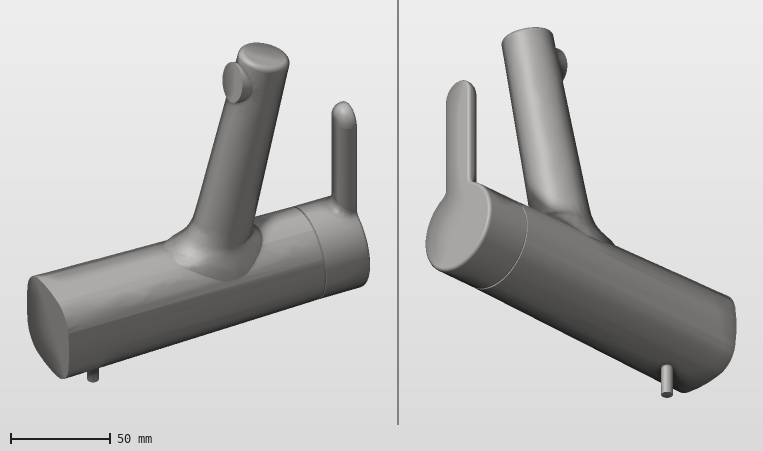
import cadquery as cq
import math

half_width = 24.27
corner_radius = 14.6
corner_offset = 8.9
neck_inset = 0.7

body_end = 143.2
handle_start = 144.2
handle_end = 169.3
back_fillet = 1.7

lean = 13.6
spout_root_y = 98.5
spout_root_z = 36.0
spout_length = 98.0
spout_root_radius = 15.1
spout_tip_radius = 13.2
spout_tip_fillet = 2.8

foot_waist_z = 28.7
foot_waist_y = 95.0
foot_waist_size = (15.5, 17.4)
foot_rim_y = 93.6
foot_rim_size = (17.0, 24.4)
foot_skirt_z = 13.7
foot_skirt_size = (21.4, 29.5)
foot_overlap = 2.6

nozzle_diameter = 20.5
nozzle_height = 82.5
nozzle_reach = 15.0

lever_width = 18.1
lever_thickness = 8.4
lever_top = 85.5
lever_front_fillet = 6.0
lever_root_fillet = 3.8

rod_diameter = 6.0
rod_y = 25.2
rod_bottom = -40.2
rod_top = -20.9


def eight_arc_outline(plane, near, far, diagonal):
    """Closed outline of four side arcs and four corner arcs, symmetric about both axes."""
    half = half_width
    return (
        plane.moveTo(-near, far)
        .threePointArc((0, half), (near, far))
        .threePointArc((diagonal, diagonal), (far, near))
        .threePointArc((half, 0), (far, -near))
        .threePointArc((diagonal, -diagonal), (near, -far))
        .threePointArc((0, -half), (-near, -far))
        .threePointArc((-diagonal, -diagonal), (-far, -near))
        .threePointArc((-half, 0), (-far, near))
        .threePointArc((-diagonal, diagonal), (-near, far))
        .close()
    )


def make_barrel():
    """Body barrel along Y: a squircle at the front that turns into a circle at the back."""
    side_radius = (corner_offset**2 + (half_width - corner_offset)**2 - corner_radius**2) / (
        2 * (half_width - corner_offset - corner_radius)
    )
    join_angle = math.asin(corner_offset / (side_radius - corner_radius))
    near = corner_offset + corner_radius * math.sin(join_angle)
    far = corner_offset + corner_radius * math.cos(join_angle)
    diagonal = corner_offset + corner_radius * math.sqrt(0.5)
    barrel = eight_arc_outline(cq.Workplane("XZ"), near, far, diagonal)

    split_angle = math.atan2(near, far)
    return eight_arc_outline(
        barrel.workplane(offset=-body_end),
        half_width * math.sin(split_angle),
        half_width * math.cos(split_angle),
        half_width * math.sqrt(0.5),
    ).loft(ruled=True)


def round_bar(start, end, radius):
    """Round bar along Y."""
    return cq.Workplane("XZ", origin=(0, start, 0)).circle(radius).extrude(start - end)


spout_axis = cq.Vector(0, math.sin(math.radians(lean)), math.cos(math.radians(lean)))
spout_front = cq.Vector(0, -math.cos(math.radians(lean)), math.sin(math.radians(lean)))
spout_root = cq.Vector(0, spout_root_y, spout_root_z)


def make_spout():
    column = cq.Workplane(
        cq.Solid.makeCone(spout_root_radius, spout_tip_radius, spout_length, spout_root, spout_axis)
    )
    return column.faces(">Z").edges().fillet(spout_tip_fillet)


def make_nozzle():
    centre = spout_root + spout_axis * nozzle_height
    return cq.Workplane(cq.Solid.makeCylinder(nozzle_diameter / 2, nozzle_reach, centre, spout_front))


def foot_ellipse(y, z, size):
    half_x, half_y = size
    return cq.Wire.makeEllipse(
        half_y, half_x, cq.Vector(0, y, z), cq.Vector(0, 0, 1), cq.Vector(0, 1, 0)
    )


def spout_ring(height):
    taper = (spout_root_radius - spout_tip_radius) / spout_length
    radius = spout_root_radius - taper * height
    return cq.Wire.makeEllipse(
        radius, radius, spout_root + spout_axis * height, spout_axis, spout_front * -1
    )


def make_foot():
    sections = [
        foot_ellipse(foot_rim_y, foot_skirt_z, foot_skirt_size),
        foot_ellipse(foot_rim_y, half_width, foot_rim_size),
        foot_ellipse(foot_waist_y, foot_waist_z, foot_waist_size),
        spout_ring(-foot_overlap),
        spout_ring(0),
    ]
    return cq.Workplane(cq.Solid.makeLoft(sections))


def make_rod():
    return (
        cq.Workplane("XY", origin=(0, rod_y, rod_bottom))
        .circle(rod_diameter / 2)
        .extrude(rod_top - rod_bottom)
    )


def make_body():
    body = make_barrel()
    body = body.union(round_bar(body_end, handle_start, half_width - neck_inset))
    body = body.union(make_foot()).union(make_spout()).union(make_nozzle())
    return body.cut(make_rod())


def make_lever():
    half = lever_width / 2
    lever = (
        cq.Workplane("XZ", origin=(0, handle_end, 0))
        .moveTo(-half, 0)
        .lineTo(-half, lever_top - half)
        .threePointArc((0, lever_top), (half, lever_top - half))
        .lineTo(half, 0)
        .close()
        .extrude(lever_thickness)
    )
    return lever.faces("<Y").edges("not <Z").fillet(lever_front_fillet)


def make_handle():
    handle = round_bar(handle_start, handle_end, half_width).union(make_lever())
    root = cq.selectors.BoxSelector(
        (-half_width, handle_start, half_width - lever_root_fillet),
        (half_width, handle_end - back_fillet / 2, half_width + back_fillet),
    )
    handle = handle.edges(root).fillet(lever_root_fillet)
    return handle.faces(">Y").edges().fillet(back_fillet)


body = make_body()
handle = make_handle()
rod = make_rod()

result = cq.Compound.makeCompound([body.val(), handle.val(), rod.val()])